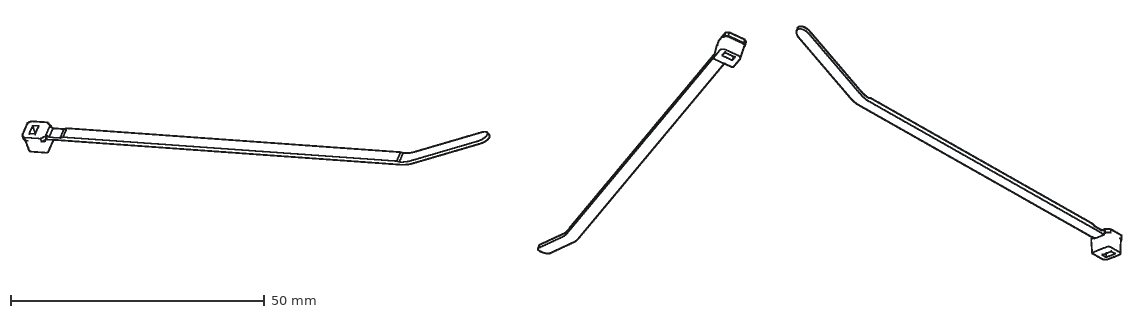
import cadquery as cq

PITCH = 10.0
ROLL = 9.6

HEAD_LENGTH = 4.9
HEAD_WIDTH = 4.6
HEAD_HEIGHT = 4.0
CAP_THICKNESS = 0.9
CAP_REAR_CHAMFER = 0.6
CAP_FRONT_CHAMFER = 0.8
BODY_REAR_INSET = 0.3
BODY_FRONT_INSET = 0.1
BODY_TAPER = 1.5
BODY_REAR_RADIUS = 0.9
BODY_FRONT_RADIUS = 0.4

SLOT_LENGTH = 1.3
SLOT_WIDTH = 2.3
SLOT_CENTER_X = 2.0

STRAP_WIDTH = 2.5
STRAP_THICKNESS = 1.0
STRAP_TOP = -0.2
STRAP_BOTTOM = STRAP_TOP - STRAP_THICKNESS
STRAP_END = 80.1
NECK_DROP = 0.3
NECK_START = HEAD_LENGTH + 0.6
NECK_END = 7.8
NECK_RAMP_LENGTH = 0.7
END_RAMP_LENGTH = 0.5
HEAD_OVERLAP = 0.5

BEND_ANGLE = 23.6
BEND_RADIUS = 6.9
TAIL_LENGTH = 19.5
TAIL_THICKNESS = 0.8
TIP_LENGTH = 2.0


def make_cap():
    cap = (
        cq.Workplane("XY", origin=(HEAD_LENGTH / 2, 0, -CAP_THICKNESS))
        .rect(HEAD_LENGTH, HEAD_WIDTH)
        .extrude(CAP_THICKNESS)
    )
    cap = cap.edges("|Z and <X").chamfer(CAP_REAR_CHAMFER)
    return cap.edges("|Z and >X").chamfer(CAP_FRONT_CHAMFER)


def make_body():
    """Block under the cap, narrowing downward, with rounded upright corners."""
    center_x = (HEAD_LENGTH + BODY_REAR_INSET - BODY_FRONT_INSET) / 2
    body = (
        cq.Workplane("XY", origin=(center_x, 0, -CAP_THICKNESS))
        .rect(HEAD_LENGTH - BODY_REAR_INSET - BODY_FRONT_INSET, HEAD_WIDTH)
        .extrude(CAP_THICKNESS - HEAD_HEIGHT, taper=BODY_TAPER)
    )
    upright_edges = "(not |X) and (not |Y)"
    body = body.edges(upright_edges).edges(">X").fillet(BODY_FRONT_RADIUS)
    return body.edges(upright_edges).edges("<X").fillet(BODY_REAR_RADIUS)


def make_head():
    slot = cq.Workplane("XY").center(SLOT_CENTER_X, 0).rect(SLOT_LENGTH, SLOT_WIDTH).extrude(-HEAD_HEIGHT)
    return make_cap().union(make_body()).cut(slot)


def make_strap():
    """Side profile of the neck and strap, extruded across the width."""
    root_x = HEAD_LENGTH - HEAD_OVERLAP
    neck_top = STRAP_TOP - NECK_DROP
    return (
        cq.Workplane("XZ")
        .moveTo(root_x, STRAP_BOTTOM)
        .lineTo(root_x, 0)
        .lineTo(HEAD_LENGTH, 0)
        .lineTo(NECK_START, neck_top)
        .lineTo(NECK_END, neck_top)
        .lineTo(NECK_END + NECK_RAMP_LENGTH, STRAP_TOP)
        .lineTo(STRAP_END - END_RAMP_LENGTH, STRAP_TOP)
        .lineTo(STRAP_END, STRAP_BOTTOM + TAIL_THICKNESS)
        .lineTo(STRAP_END, STRAP_BOTTOM)
        .close()
        .extrude(STRAP_WIDTH / 2, both=True)
    )


def make_bend():
    """Bend of constant thickness, turning upward from the end of the strap."""
    bend_center = BEND_RADIUS - TAIL_THICKNESS / 2
    section = cq.Workplane("YZ", origin=(STRAP_END, 0, STRAP_BOTTOM + TAIL_THICKNESS / 2))
    return section.rect(STRAP_WIDTH, TAIL_THICKNESS).revolve(
        BEND_ANGLE, (0, bend_center, 0), (-1, bend_center, 0)
    )


def make_tail():
    """Straight tail with a half-elliptical tip, turned up to meet the bend."""
    half_width = STRAP_WIDTH / 2
    shoulder_x = STRAP_END + TAIL_LENGTH - TIP_LENGTH
    tail = (
        cq.Workplane("XY", origin=(0, 0, STRAP_BOTTOM))
        .moveTo(shoulder_x, half_width)
        .lineTo(STRAP_END, half_width)
        .lineTo(STRAP_END, -half_width)
        .lineTo(shoulder_x, -half_width)
        .ellipseArc(TIP_LENGTH, half_width, -90, 90, startAtCurrent=True)
        .close()
        .extrude(TAIL_THICKNESS)
    )
    pivot_z = STRAP_BOTTOM + BEND_RADIUS
    return tail.rotate((STRAP_END, 0, pivot_z), (STRAP_END, 1, pivot_z), -BEND_ANGLE)


tie = make_head().union(make_strap()).union(make_bend()).union(make_tail())
result = tie.rotate((0, 0, 0), (0, 1, 0), -PITCH).rotate((0, 0, 0), (1, 0, 0), ROLL)